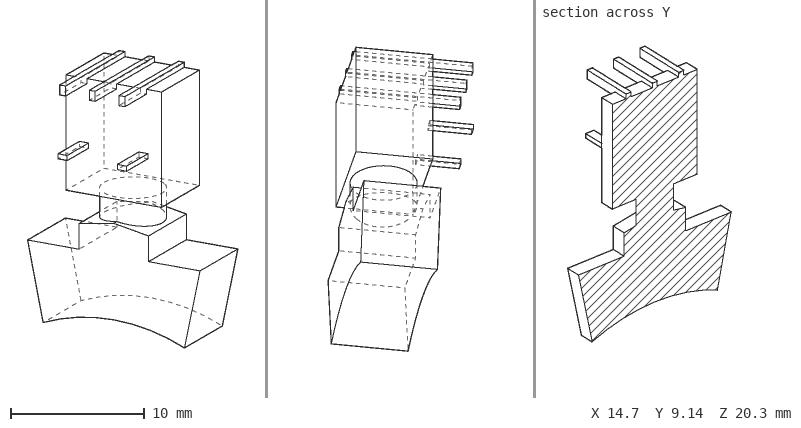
import cadquery as cq

depth = 5.84
body_width = 8.17
body_bottom = 10.76
body_top = 19.86

pin_reach = 3.3
pin_pitch = 2.53
terminal_width = 0.5
terminal_height = 0.8
terminal_top = 20.27
support_width = 0.8
support_height = 0.4
support_center_z = 14.61

stem_diameter = 5.0
stem_bottom = 7.1
stem_center_y = 0.06

cap_top_width = 14.74
cap_bottom_width = 12.08
shoulder_z = 6.3
neck_width = 5.94
neck_side_z = 8.33
neck_peak_z = 8.84
hollow_rise = 1.22


def box_between(width, y_min, y_max, z_min, z_max, center_x=0):
    """Box centered on center_x that spans the given Y and Z ranges."""
    corner = (center_x - width / 2, y_min, z_min)
    return cq.Workplane("XY").box(width, y_max - y_min, z_max - z_min, centered=False).translate(corner)


def make_cap():
    """Rocker cap with a peaked neck, sloping ends and a hollow underside."""
    return (
        cq.Workplane("XZ")
        .moveTo(-cap_bottom_width / 2, 0)
        .lineTo(-cap_top_width / 2, shoulder_z)
        .lineTo(-neck_width / 2, shoulder_z)
        .lineTo(-neck_width / 2, neck_side_z)
        .lineTo(0, neck_peak_z)
        .lineTo(neck_width / 2, neck_side_z)
        .lineTo(neck_width / 2, shoulder_z)
        .lineTo(cap_top_width / 2, shoulder_z)
        .lineTo(cap_bottom_width / 2, 0)
        .threePointArc((0, hollow_rise), (-cap_bottom_width / 2, 0))
        .close()
        .extrude(depth / 2, both=True)
    )


def make_stem():
    """Round stem running from inside the cap up to the body."""
    stem = cq.Workplane("XY").workplane(offset=stem_bottom).center(0, stem_center_y).circle(stem_diameter / 2)
    return stem.extrude(body_bottom - stem_bottom)


front_y = -depth / 2
back_y = depth / 2
pin_tip_y = front_y - pin_reach

result = box_between(body_width, front_y, back_y, body_bottom, body_top)
result = result.union(make_stem()).union(make_cap())

for index in (-1, 0, 1):
    terminal = box_between(
        terminal_width, pin_tip_y, back_y, terminal_top - terminal_height, terminal_top, index * pin_pitch
    )
    result = result.union(terminal)

support_bottom = support_center_z - support_height / 2
support_top = support_center_z + support_height / 2
for side in (-1, 1):
    support = box_between(support_width, pin_tip_y, front_y, support_bottom, support_top, side * pin_pitch)
    result = result.union(support)